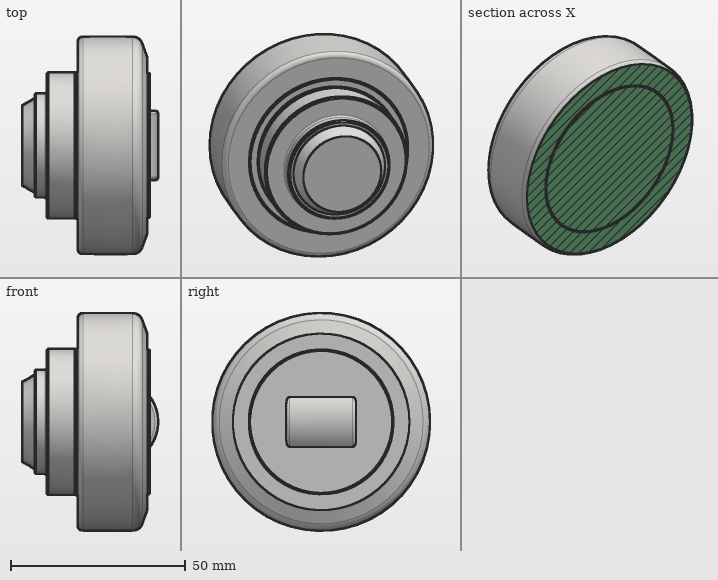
import cadquery as cq
import math


CONE_TIP_RADIUS = 11.5
CONE_LENGTH = 3.5
CONE_SLOPE = math.radians(30)
NECK_RADIUS = 15.0
NECK_CHAMFER = 0.5
NECK_ROOT_FILLET = 0.5

FLANGE_RADIUS = 21.0
FLANGE_START = 7.0
FLANGE_END = 15.0
FLANGE_CHAMFER = 0.5
GROOVE_WIDTH = 0.4
GROOVE_DEPTH = 0.25
INNER_RING_RADIUS = 21.05

WHEEL_RADIUS = 31.25
CROWN_RADIUS = 500.0
WHEEL_START = 15.85
WHEEL_WIDTH = 20.0
WHEEL_END = WHEEL_START + WHEEL_WIDTH
BACK_FILLET = 1.5
FRONT_FILLET = 3.0
FRONT_FILLET_START = 31.6
FRONT_TAPER = math.radians(20)
SEAL_RADIUS = 23.5
SEAL_CHAMFER = 0.4

CAP_RADIUS = 20.75
CAP_THICKNESS = 0.8
CAP_CHAMFER = 0.4
CAP_END = WHEEL_END + CAP_THICKNESS

OVERALL_LENGTH = 39.0
CROSS_ROLLER_RADIUS = 12.0
CROSS_ROLLER_LENGTH = 20.0
CROSS_ROLLER_FILLET = 1.0


def turned(profile):
    """Revolve a closed half profile, drawn as (x, radius), about the X axis."""
    return profile.close().revolve(360, (0, 0, 0), (1, 0, 0))


def make_stub():
    cone_base_radius = CONE_TIP_RADIUS + CONE_LENGTH * math.tan(CONE_SLOPE)
    groove_end = FLANGE_END + GROOVE_WIDTH
    groove_radius = FLANGE_RADIUS - GROOVE_DEPTH
    profile = (
        cq.Workplane("XY")
        .lineTo(0, CONE_TIP_RADIUS)
        .lineTo(CONE_LENGTH, cone_base_radius)
        .lineTo(CONE_LENGTH, NECK_RADIUS - NECK_CHAMFER)
        .lineTo(CONE_LENGTH + NECK_CHAMFER, NECK_RADIUS)
        .lineTo(FLANGE_START - NECK_ROOT_FILLET, NECK_RADIUS)
        .radiusArc((FLANGE_START, NECK_RADIUS + NECK_ROOT_FILLET), -NECK_ROOT_FILLET)
        .lineTo(FLANGE_START, FLANGE_RADIUS - FLANGE_CHAMFER)
        .lineTo(FLANGE_START + FLANGE_CHAMFER, FLANGE_RADIUS)
        .lineTo(FLANGE_END, FLANGE_RADIUS)
        .lineTo(FLANGE_END, groove_radius)
        .lineTo(groove_end, groove_radius)
        .lineTo(groove_end, INNER_RING_RADIUS)
        .lineTo(WHEEL_END, INNER_RING_RADIUS)
        .lineTo(WHEEL_END, 0)
    )
    return turned(profile)


def make_wheel():
    tread_start = WHEEL_START + BACK_FILLET
    tread_middle = (tread_start + FRONT_FILLET_START) / 2
    half_tread = FRONT_FILLET_START - tread_middle
    crown_height = CROWN_RADIUS - math.sqrt(CROWN_RADIUS**2 - half_tread**2)
    tread_edge_radius = WHEEL_RADIUS - crown_height

    fillet_end_x = FRONT_FILLET_START + FRONT_FILLET * math.cos(FRONT_TAPER)
    fillet_end_radius = tread_edge_radius - FRONT_FILLET * (1 - math.sin(FRONT_TAPER))
    front_face_radius = fillet_end_radius - (WHEEL_END - fillet_end_x) / math.tan(FRONT_TAPER)
    profile = (
        cq.Workplane("XY")
        .moveTo(WHEEL_START, 0)
        .lineTo(WHEEL_START, SEAL_RADIUS - SEAL_CHAMFER)
        .lineTo(WHEEL_START + SEAL_CHAMFER, SEAL_RADIUS)
        .lineTo(WHEEL_START, SEAL_RADIUS)
        .lineTo(WHEEL_START, tread_edge_radius - BACK_FILLET)
        .radiusArc((tread_start, tread_edge_radius), BACK_FILLET)
        .threePointArc((tread_middle, WHEEL_RADIUS), (FRONT_FILLET_START, tread_edge_radius))
        .radiusArc((fillet_end_x, fillet_end_radius), FRONT_FILLET)
        .lineTo(WHEEL_END, front_face_radius)
        .lineTo(WHEEL_END, 0)
    )
    return turned(profile)


def make_cap():
    profile = (
        cq.Workplane("XY")
        .moveTo(WHEEL_END, 0)
        .lineTo(WHEEL_END, CAP_RADIUS)
        .lineTo(CAP_END - CAP_CHAMFER, CAP_RADIUS)
        .lineTo(CAP_END, CAP_RADIUS - CAP_CHAMFER)
        .lineTo(CAP_END, 0)
    )
    return turned(profile)


def make_cross_roller():
    return (
        cq.Workplane("XZ")
        .center(OVERALL_LENGTH - CROSS_ROLLER_RADIUS, 0)
        .circle(CROSS_ROLLER_RADIUS)
        .extrude(CROSS_ROLLER_LENGTH / 2, both=True)
        .edges("%CIRCLE")
        .fillet(CROSS_ROLLER_FILLET)
    )


result = make_stub().union(make_wheel()).union(make_cap()).union(make_cross_roller())